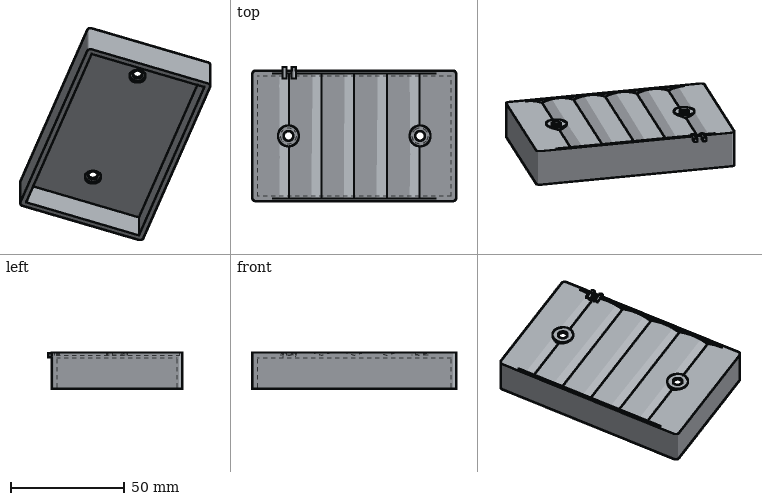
import cadquery as cq
import math

length = 90.0
width = 57.6
height = 16.1
corner_radius = 1.6
wall = 2.4
roof_thickness = 2.4

valley_count = 5
valley_pitch = 14.35
valley_depth = 1.4
scallop_length = 55.1
scallop_width = valley_count * valley_pitch

screw_spacing = 58.0
boss_diameter = 9.2
hole_diameter = 4.2
pad_thickness = 1.1
recess_diameter = 7.0

wire_diameter = 1.9
wire_length = 5.0
wire_overhang = 1.6
wire_pitch = 4.05
wire_top_gap = 0.3

first_valley_x = (valley_pitch - scallop_width) / 2
screw_points = [(-screw_spacing / 2, 0), (screw_spacing / 2, 0)]
wire_axis_z = height - wire_top_gap - wire_diameter / 2
wire_end_y = width / 2 + wire_overhang
wire_positions = [first_valley_x + side * wire_pitch / 2 for side in (-1, 1)]


def make_case():
    """Rounded box, hollow and open underneath."""
    case = cq.Workplane("XY").box(length, width, height, centered=(True, True, False))
    case = case.edges("|Z").fillet(corner_radius)
    cavity = cq.Workplane("XY").box(
        length - 2 * wall,
        width - 2 * wall,
        height - roof_thickness,
        centered=(True, True, False),
    )
    return case.cut(cavity)


def make_valley(x):
    """Material removed between two crests; each side is an arc tangent to the top at its crest."""
    half_pitch = valley_pitch / 2
    arc_radius = (half_pitch**2 + valley_depth**2) / (2 * valley_depth)
    quarter = half_pitch / 2
    quarter_z = height - arc_radius + math.sqrt(arc_radius**2 - quarter**2)
    left_mid = (-half_pitch + quarter, quarter_z)
    right_mid = (half_pitch - quarter, quarter_z)
    profile = cq.Workplane("XZ", origin=(x, scallop_length / 2, 0)).moveTo(-half_pitch, height)
    profile = profile.threePointArc(left_mid, (0, height - valley_depth))
    profile = profile.threePointArc(right_mid, (half_pitch, height))
    return profile.close().extrude(scallop_length)


def make_bosses():
    """Round pads that fill the valleys up to the top around the screw holes."""
    pads = cq.Workplane("XY", origin=(0, 0, height - roof_thickness))
    return pads.pushPoints(screw_points).circle(boss_diameter / 2).extrude(roof_thickness)


def make_screw_holes():
    """Holes that pass straight through the pads."""
    return cq.Workplane("XY").pushPoints(screw_points).circle(hole_diameter / 2).extrude(height)


def make_screw_recesses():
    """Round recesses from inside the case that thin the pads around the screw holes."""
    recesses = cq.Workplane("XY").pushPoints(screw_points).circle(recess_diameter / 2)
    return recesses.extrude(height - pad_thickness)


def make_wire(x):
    """Round wire running along Y, ending inside the first valley."""
    wire = cq.Workplane("XZ", origin=(x, wire_end_y, wire_axis_z))
    return wire.circle(wire_diameter / 2).extrude(wire_length)


def make_wire_slot(x):
    """Slot open to the top, from the wire's axis up, as wide and as long as the wire."""
    slot = cq.Workplane("XY", origin=(x, wire_end_y - wire_length / 2, wire_axis_z))
    return slot.box(wire_diameter, wire_length, height - wire_axis_z, centered=(True, True, False))


result = make_case()
for index in range(valley_count):
    result = result.cut(make_valley(first_valley_x + index * valley_pitch), clean=False)
result = result.union(make_bosses(), clean=False)
result = result.cut(make_screw_holes(), clean=False)
result = result.cut(make_screw_recesses(), clean=False)
for wire_x in wire_positions:
    result = result.cut(make_wire_slot(wire_x), clean=False)
    result = result.union(make_wire(wire_x), clean=False)